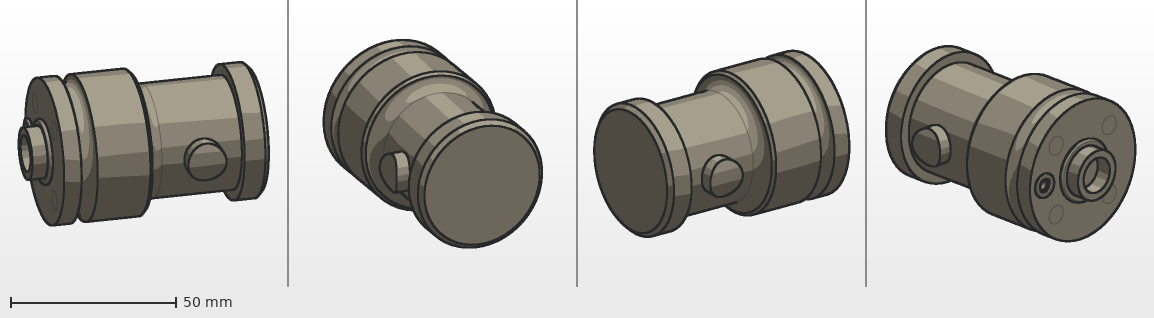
import cadquery as cq
import math


flange_radius = 20.75
flange_length = 8.0
flange_chamfer = 1.5

neck_radius = 17.5
neck_fillet = 4.0

body_radius = 22.5
body_chamfer = body_radius - neck_radius - neck_fillet
body_back = 37.0
body_front = 65.0
groove_radius = 2.5
groove_center = 57.0

trunnion_radius = 6.0
trunnion_center = 20.0
trunnion_reach = 22.0
crown_radius = 13.0

nozzle_radius = 8.0
nozzle_end = 71.0
bore_radius = 5.6
bore_depth = 5.2

main_ring_radius = 10.1
main_ring_height = 1.4
main_ring_flat = 0.9
port_ring_radius = 3.9
port_ring_height = 1.1
port_ring_flat = 0.7

port_x = -16.8
port_radius = 1.5
port_depth = 10.0

plug_radius = 3.0
plug_circle_radius = 16.0
plug_depth = 10.0
plug_count = 4
first_plug_angle = 45.0


def front_cylinder(x, z, radius, y_start, y_end):
    """Cylinder along Y, given by distances in front of the back face."""
    axis_start = cq.Vector(x, -y_start, z)
    return cq.Workplane(cq.Solid.makeCylinder(radius, y_end - y_start, axis_start, cq.Vector(0, -1, 0)))


def revolve_about_y(profile):
    return profile.close().revolve(360, (0, 0, 0), (0, 1, 0))


def make_turned_body():
    fillet_offset = neck_fillet * (1 - math.sqrt(0.5))
    profile = (
        cq.Workplane("XY")
        .lineTo(flange_radius - flange_chamfer, 0)
        .lineTo(flange_radius, -flange_chamfer)
        .lineTo(flange_radius, -flange_length)
        .lineTo(neck_radius, -flange_length)
        .lineTo(neck_radius, -(body_back - neck_fillet))
        .threePointArc(
            (neck_radius + fillet_offset, -(body_back - fillet_offset)),
            (neck_radius + neck_fillet, -body_back),
        )
        .lineTo(body_radius, -(body_back + body_chamfer))
        .lineTo(body_radius, -(groove_center - groove_radius))
        .threePointArc(
            (body_radius - groove_radius, -groove_center),
            (body_radius, -(groove_center + groove_radius)),
        )
        .lineTo(body_radius, -body_front)
        .lineTo(0, -body_front)
    )
    return revolve_about_y(profile)


def make_trunnion(side):
    """Pin from the axis to one side, its end crowned about a line parallel to Y."""
    pin_outline = cq.Workplane("YZ").center(-trunnion_center, 0).circle(trunnion_radius)
    pin = pin_outline.extrude(side * trunnion_reach)
    crown_axis_x = side * (trunnion_reach - crown_radius)
    pin_start = trunnion_center - trunnion_radius
    pin_end = trunnion_center + trunnion_radius
    crown = front_cylinder(crown_axis_x, 0, crown_radius, pin_start, pin_end)
    return pin.intersect(crown)


def make_ring(x, outer_radius, height, flat_width):
    """Ring on the front face with half-round inner and outer sides."""
    side_radius = height / 2
    flat_outer = outer_radius - side_radius
    flat_inner = flat_outer - flat_width
    profile = (
        cq.Workplane("XY")
        .moveTo(flat_inner, 0)
        .lineTo(flat_outer, 0)
        .threePointArc((outer_radius, -side_radius), (flat_outer, -height))
        .lineTo(flat_inner, -height)
        .threePointArc((flat_inner - side_radius, -side_radius), (flat_inner, 0))
    )
    return revolve_about_y(profile).translate((x, -body_front, 0))


def make_plugs():
    plugs = []
    for index in range(plug_count):
        angle = math.radians(first_plug_angle + index * 360 / plug_count)
        x = plug_circle_radius * math.cos(angle)
        z = plug_circle_radius * math.sin(angle)
        plugs.append(front_cylinder(x, z, plug_radius, body_front - plug_depth, body_front))
    return plugs


def fit_flush_plugs(part):
    """Bore the plug holes and fill them, keeping the outline of every plug as an edge."""
    plugs = make_plugs()
    for plug in plugs:
        part = part.cut(plug)
    for plug in plugs:
        part = part.union(plug, clean=False)
    return part


part = make_turned_body()
for side in (-1, 1):
    part = part.union(make_trunnion(side))
part = part.union(front_cylinder(0, 0, nozzle_radius, body_front, nozzle_end))
part = part.union(make_ring(0, main_ring_radius, main_ring_height, main_ring_flat))
part = part.union(make_ring(port_x, port_ring_radius, port_ring_height, port_ring_flat))
part = part.cut(front_cylinder(0, 0, bore_radius, nozzle_end - bore_depth, nozzle_end))
part = part.cut(front_cylinder(port_x, 0, port_radius, body_front - port_depth, body_front))

result = fit_flush_plugs(part)